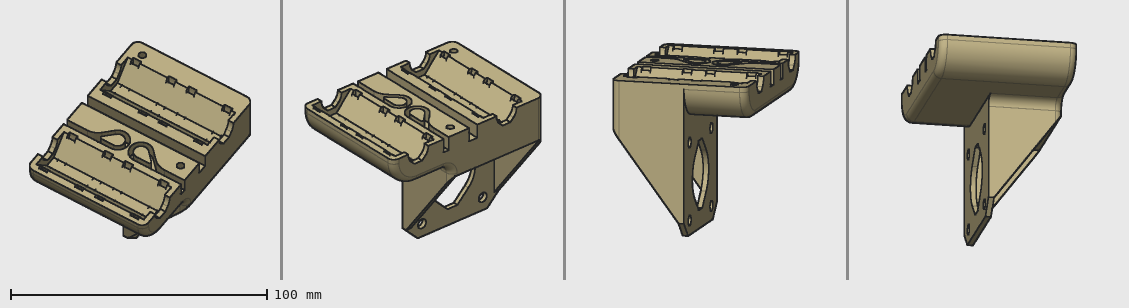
import cadquery as cq
import math


tray_length_x = 55.0
tray_width_y = 77.0
tray_depth = 14.0
tray_corner_radius = 12.0
end_edge_radius = 3.0
mid_x = tray_length_x / 2
half_width_y = tray_width_y / 2

part_height = 61.5
bracket_start_x = 25.5
bracket_width_y = 47.35
bracket_corner_chamfer = 6.0
bracket_root_radius = 4.0
plate_thickness = 2.2
bracket_wall = 2.4
motor_axis_z = -40.3
gusset_start_z = -19.25
bracket_edge_y = half_width_y - bracket_width_y
motor_axis_y = half_width_y - bracket_width_y / 2
plate_back_x = bracket_start_x + plate_thickness
gusset_end_z = bracket_corner_chamfer - part_height

mount_hole_spacing = 30.95
mount_hole_diameter = 4.1
boss_hole_radius = 11.55
boss_hole_half_height = 13.85

channel_centers_y = (19.5, -25.5)
channel_end_wall = 2.4
channel_half_width = 9.8
channel_floor_half_width = 2.5
channel_depth = 8.3

notch_radius = 5.1
notch_axis_z = -0.2
notch_depth = 5.5

tie_inner_radius = 8.9
tie_outer_radius = 10.85
tie_width = 3.7
tie_offsets_x = (-21.3, -4.7, 4.7, 21.3)

groove_depth = 6.0
straight_groove_center_y = 2.5
straight_groove_width = 4.15
loop_center_offset_x = 5.5
loop_center_y = -7.55
loop_outer_radius = 4.9
loop_inner_radius = 3.0
lead_width = 2.5
lead_blend_radius = 7.7
island_tip_radius = 0.7

screw_points = ((6.5, 33.35), (49.6, -4.7))
screw_hole_diameter = 3.0
screw_hole_depth = 7.7
drill_tip_height = screw_hole_diameter / 2

SIN45 = math.sqrt(0.5)
BLEND_HALF_ANGLE = math.radians(45 / 2)


def tray_body():
    """Plain tray with its two long bottom edges rounded."""
    return (
        cq.Workplane("XY")
        .box(tray_length_x, tray_width_y, tray_depth, centered=(False, True, False))
        .translate((0, 0, -tray_depth))
        .edges("|X and <Z")
        .fillet(tray_corner_radius)
    )


def bracket_block():
    """Solid block that the bracket is carved from, chamfered at its foot."""
    return (
        cq.Workplane("XY")
        .box(tray_length_x - bracket_start_x, bracket_width_y, part_height, centered=(False, True, False))
        .translate((bracket_start_x, motor_axis_y, -part_height))
        .edges("|X and <Z")
        .chamfer(bracket_corner_chamfer)
    )


def rounded_blank():
    """Tray and block joined, with the root and the end outlines rounded."""
    root_corner = cq.selectors.NearestToPointSelector(
        ((bracket_start_x + tray_length_x) / 2, bracket_edge_y, -tray_depth)
    )
    blank = tray_body().union(bracket_block())
    blank = blank.edges("|X").edges(root_corner).fillet(bracket_root_radius)
    for end_face in ("<X", ">X"):
        blank = blank.faces(end_face).edges("not(>Z)").fillet(end_edge_radius)
    return blank


def bracket_cavity():
    """Motor space between the side walls, open below and at the right."""
    cavity_width = bracket_width_y - 2 * bracket_wall
    return (
        cq.Workplane("XY")
        .box(tray_length_x, cavity_width, part_height, centered=(False, True, False))
        .translate((plate_back_x, motor_axis_y, gusset_start_z - part_height))
    )


def gusset_slope_cut():
    """Everything below the sloping edge of the side walls."""
    return (
        cq.Workplane("XZ", origin=(0, half_width_y, 0))
        .moveTo(tray_length_x, gusset_start_z)
        .lineTo(plate_back_x, gusset_end_z)
        .lineTo(plate_back_x, -part_height)
        .lineTo(tray_length_x, -part_height)
        .close()
        .extrude(tray_width_y)
    )


def motor_openings():
    """Four screw holes and a round boss hole peaked at 45 degrees up and down."""
    plane = cq.Workplane("YZ", origin=(bracket_start_x, motor_axis_y, motor_axis_z))
    screws = (
        plane.rect(mount_hole_spacing, mount_hole_spacing, forConstruction=True)
        .vertices()
        .circle(mount_hole_diameter / 2)
        .extrude(plate_thickness)
    )
    tangent = boss_hole_radius * SIN45
    flat = boss_hole_radius / SIN45 - boss_hole_half_height
    boss = (
        plane.moveTo(tangent, -tangent)
        .threePointArc((boss_hole_radius, 0), (tangent, tangent))
        .lineTo(flat, boss_hole_half_height)
        .lineTo(-flat, boss_hole_half_height)
        .lineTo(-tangent, tangent)
        .threePointArc((-boss_hole_radius, 0), (-tangent, -tangent))
        .lineTo(-flat, -boss_hole_half_height)
        .lineTo(flat, -boss_hole_half_height)
        .close()
        .extrude(plate_thickness)
    )
    return screws.union(boss)


def channel(center_y):
    """Sloped-side battery channel with flat floor."""
    return (
        cq.Workplane("YZ", origin=(channel_end_wall, center_y, 0))
        .moveTo(-channel_half_width, 0)
        .lineTo(-channel_floor_half_width, -channel_depth)
        .lineTo(channel_floor_half_width, -channel_depth)
        .lineTo(channel_half_width, 0)
        .close()
        .extrude(tray_length_x - 2 * channel_end_wall)
    )


def end_notch(center_y):
    """Round notch with 45 degree flanks and a flat floor, along the whole tray."""
    tangent_y = notch_radius * SIN45
    tangent_z = notch_axis_z - tangent_y
    floor_half = tangent_y - (notch_depth + tangent_z)
    top_half = math.sqrt(notch_radius**2 - notch_axis_z**2)
    return (
        cq.Workplane("YZ", origin=(0, center_y, 0))
        .moveTo(top_half, 0)
        .threePointArc((notch_radius, notch_axis_z), (tangent_y, tangent_z))
        .lineTo(floor_half, -notch_depth)
        .lineTo(-floor_half, -notch_depth)
        .lineTo(-tangent_y, tangent_z)
        .threePointArc((-notch_radius, notch_axis_z), (-top_half, 0))
        .close()
        .extrude(tray_length_x)
    )


def tie_tunnel(center_y, offset_x):
    """Ring around the channel axis; only its lower half meets the tray."""
    return (
        cq.Workplane("YZ", origin=(mid_x + offset_x - tie_width / 2, center_y, 0))
        .circle(tie_outer_radius)
        .circle(tie_inner_radius)
        .extrude(tie_width)
    )


def straight_groove():
    """Straight wire groove running the whole length of the tray."""
    return (
        cq.Workplane("XY")
        .box(tray_length_x, straight_groove_width, groove_depth, centered=(False, True, False))
        .translate((0, straight_groove_center_y, -groove_depth))
    )


def loop_groove():
    """Left-hand wire loop: a straight lead running into a teardrop ring."""
    center_x = mid_x - loop_center_offset_x
    plane = cq.Workplane("XY", origin=(center_x, loop_center_y, -groove_depth))

    lead_top_y = lead_width - loop_outer_radius
    corner_x = lead_top_y - loop_outer_radius / SIN45
    blend_length = lead_blend_radius * math.tan(BLEND_HALF_ANGLE)
    blend_middle = (
        corner_x - blend_length + lead_blend_radius * math.sin(BLEND_HALF_ANGLE),
        lead_top_y + lead_blend_radius * (1 - math.cos(BLEND_HALF_ANGLE)),
    )
    outer = (
        plane.moveTo(-center_x, -loop_outer_radius)
        .lineTo(0, -loop_outer_radius)
        .threePointArc(
            (loop_outer_radius, 0), (-loop_outer_radius * SIN45, loop_outer_radius * SIN45)
        )
        .lineTo(corner_x + blend_length * SIN45, lead_top_y + blend_length * SIN45)
        .threePointArc(blend_middle, (corner_x - blend_length, lead_top_y))
        .lineTo(-center_x, lead_top_y)
        .close()
        .extrude(groove_depth)
    )

    tip_x = -loop_inner_radius * (1 + 1 / SIN45)
    island = (
        plane.moveTo(tip_x, -loop_inner_radius)
        .lineTo(0, -loop_inner_radius)
        .threePointArc(
            (loop_inner_radius, 0), (-loop_inner_radius * SIN45, loop_inner_radius * SIN45)
        )
        .close()
        .extrude(groove_depth)
        .edges("|Z and <X")
        .fillet(island_tip_radius)
    )
    return outer.cut(island)


def screw_hole(x, y):
    """Blind hole ending in a drill point."""
    radius = screw_hole_diameter / 2
    return (
        cq.Workplane("XZ", origin=(x, y, 0))
        .lineTo(radius, 0)
        .lineTo(radius, -screw_hole_depth)
        .lineTo(0, -screw_hole_depth - drill_tip_height)
        .close()
        .revolve(360, (0, 0), (0, 1))
    )


result = rounded_blank().cut(bracket_cavity()).cut(gusset_slope_cut()).cut(motor_openings())

for channel_y in channel_centers_y:
    result = result.cut(channel(channel_y)).cut(end_notch(channel_y))
    for tie_x in tie_offsets_x:
        result = result.cut(tie_tunnel(channel_y, tie_x))

left_loop = loop_groove()
right_loop = left_loop.mirror("YZ", (mid_x, 0, 0))
result = result.cut(straight_groove()).cut(left_loop).cut(right_loop)

for hole_x, hole_y in screw_points:
    result = result.cut(screw_hole(hole_x, hole_y))